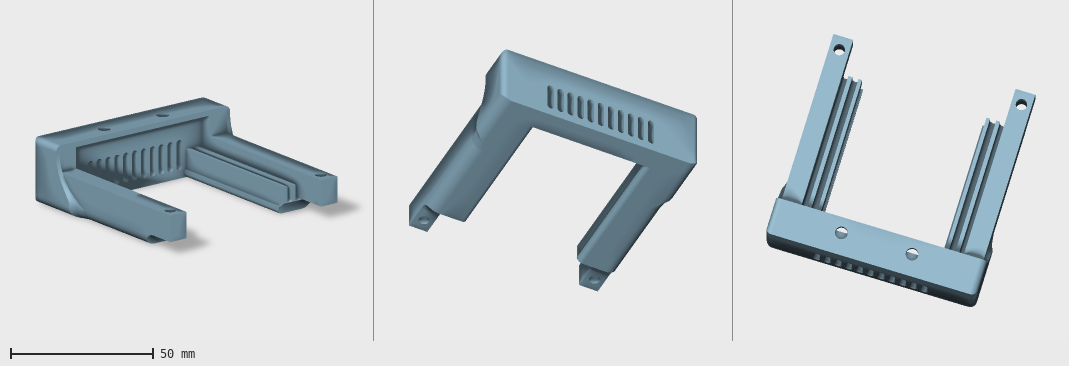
import cadquery as cq
import math

length = 76.85
width = 77.4
height = 24.6
half_width = width / 2

head_depth = 13.2
panel_thickness = 8.4
head_top_thickness = 2.0
edge_radius = 2.2
head_bottom_radius = 4.0

arm_outer_y = 37.15
arm_inner_y = 29.9
arm_top = 14.8
arm_bottom_radius = 4.3
tip_relief_radius = 5.0
tip_relief_x = 62.15

flare_radius = 13.8

rail_end_x = 64.8
rib_top = 10.5
groove_floor = 4.3
outer_rib_y = (26.5, 27.95)
inner_rib_y = (22.9, 24.2)
outer_groove_radius = 0.6
inner_groove_radius = 0.9
lip_y = 22.0
lip_top = 2.95
lip_radius = 1.7

head_hole_diameter = 4.5
head_hole_x = 7.75
head_hole_y = 13.0
arm_hole_diameter = 4.0
arm_hole_x = 72.05
vent_count = 11
vent_pitch = 3.95
vent_width = 2.5
vent_bottom = 3.2
vent_top = 14.25


def block(x_range, y_range, z_range):
    """Box between the given limits."""
    sizes = [high - low for low, high in (x_range, y_range, z_range)]
    corner = (x_range[0], y_range[0], z_range[0])
    return cq.Workplane("XY").box(*sizes, centered=False).translate(corner)


def flare():
    """Concave horn around the rounded lower edge of the arm, from the head's back face to the arm's side."""
    arc_middle = flare_radius * (1 - math.sqrt(0.5))
    outline = (
        cq.Workplane("XY", origin=(head_depth, arm_outer_y - arm_bottom_radius, arm_bottom_radius))
        .lineTo(0, arm_bottom_radius + flare_radius)
        .threePointArc((arc_middle, arm_bottom_radius + arc_middle), (flare_radius, arm_bottom_radius))
        .lineTo(flare_radius, 0)
        .close()
    )
    horn = outline.revolve(360, (0, 0, 0), (1, 0, 0))
    return horn.cut(block((0, length), (-width, arm_outer_y), (arm_top, width)))


def half_body():
    """Half of the solid envelope (Y > 0) with its rounded outer edges."""
    head = block((0, head_depth), (0, half_width), (0, height))
    arm = block((0, length), (0, arm_outer_y), (0, arm_top))
    arm = arm.edges("<Z and >Y").fillet(arm_bottom_radius)

    envelope = block((0, length), (0, half_width), (0, height))
    envelope = envelope.edges("<Z and >Y").fillet(head_bottom_radius)
    envelope = envelope.edges(">Z and >Y").fillet(edge_radius)
    rounded_front = block((0, length), (0, half_width), (0, height))
    rounded_front = rounded_front.edges("|Z and <X and >Y").fillet(edge_radius)

    body = head.union(arm).union(flare())
    return body.intersect(envelope).intersect(rounded_front)


def rail_channel():
    """Space on the inner side of an arm, leaving two ribs, two grooves and a bottom lip."""
    ceiling = height - head_top_thickness
    channel = block((panel_thickness, length), (0, arm_inner_y), (groove_floor, ceiling))
    channel = channel.union(block((panel_thickness, length), (0, inner_rib_y[0]), (lip_top, ceiling)))
    channel = channel.union(block((panel_thickness, length), (0, lip_y), (0, ceiling)))
    for rib in (outer_rib_y, inner_rib_y):
        channel = channel.cut(block((0, length), rib, (0, rib_top)))
    selection_margin = 0.1
    grooves = (
        (outer_rib_y[1], arm_inner_y, outer_groove_radius),
        (inner_rib_y[1], outer_rib_y[0], inner_groove_radius),
    )
    for low, high, radius in grooves:
        floor_edges = cq.selectors.BoxSelector(
            (0, low - selection_margin, groove_floor - selection_margin),
            (length, high + selection_margin, groove_floor + selection_margin),
        )
        channel = channel.edges("|X").edges(floor_edges).fillet(radius)
    return channel


def lip_rounding():
    """Corner sliver removed to round the lower inner edge of the rail lip."""
    corner = block((panel_thickness, length), (lip_y, lip_y + lip_radius), (0, lip_radius))
    rounding = cq.Workplane("YZ").center(lip_y + lip_radius, lip_radius).circle(lip_radius).extrude(length)
    return corner.cut(rounding)


def tip_relief():
    """Underside step at the arm tip with a concave quarter-round end."""
    diagonal = tip_relief_radius * math.sqrt(0.5)
    arc_end_x = tip_relief_x + tip_relief_radius
    return (
        cq.Workplane("XZ")
        .moveTo(tip_relief_x, 0)
        .threePointArc((arc_end_x - diagonal, diagonal), (arc_end_x, tip_relief_radius))
        .lineTo(length, tip_relief_radius)
        .lineTo(length, 0)
        .close()
        .extrude(-half_width)
    )


def half_part():
    """Finished half of the part on the +Y side, without the vents."""
    half = half_body()
    half = half.cut(rail_channel())
    half = half.cut(lip_rounding())
    half = half.cut(tip_relief())
    rail_end_y = outer_rib_y[1] + outer_groove_radius
    half = half.cut(block((rail_end_x, length), (0, rail_end_y), (0, height)))

    head_hole = cq.Workplane("XY", origin=(head_hole_x, head_hole_y, height)).circle(head_hole_diameter / 2)
    half = half.cut(head_hole.extrude(-head_top_thickness))
    arm_hole_y = (arm_inner_y + arm_outer_y) / 2
    arm_hole = cq.Workplane("XY", origin=(arm_hole_x, arm_hole_y, 0)).circle(arm_hole_diameter / 2)
    return half.cut(arm_hole.extrude(arm_top))


def vents():
    """Row of upright slots through the front panel."""
    return (
        cq.Workplane("YZ")
        .center(0, (vent_bottom + vent_top) / 2)
        .rarray(vent_pitch, 0.8, vent_count, 1)
        .slot2D(vent_top - vent_bottom, vent_width, 90)
        .extrude(panel_thickness)
    )


left_half = half_part()
result = left_half.union(left_half.mirror("XZ")).cut(vents())